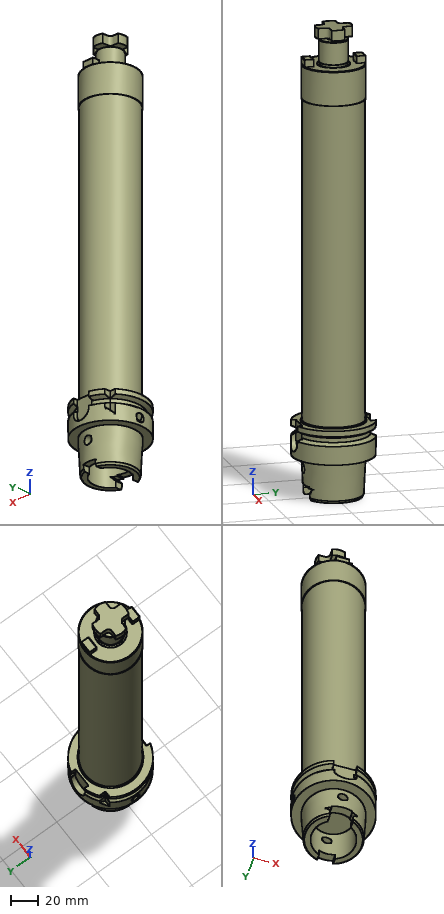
import cadquery as cq
import math


shank_length = 32.0
shank_top_d = 48.0
shank_bottom_d = 45.2
shank_collar_height = 2.0
shank_chamfer_height = 2.0
shank_chamfer_width = 1.0
bore_d = 34.0
cross_hole_d = 7.5
cross_hole_z = -9.0

wide_slot_width = 18.0
wide_slot_depth = 10.5
wide_slot_step_width = 16.0
wing_drop = 1.2
wing_reach = 3.3
wing_height = 3.8
narrow_slot_width = 12.5
narrow_slot_depth = 5.5

flange_d = 63.0
flange_height = 26.0
groove_center_z = 18.0
groove_mouth = 7.5
groove_floor = 3.4
groove_floor_d = 55.0
flange_slot_floor = 26.5
front_slot_width = 18.0
back_slot_width = 16.0
flange_slot_bottom_z = 4.5
notch_offset = 19.4
notch_corner_z = 5.5
notch_edge_z = 11.0
dimple_d = 7.5
dimple_z = 6.5

body_d = 47.0
body_top_z = 300.0
foot_d = 49.0
foot_height = 0.8
collar_d = 48.0
collar_height = 26.5
collar_chamfer = 0.6

spigot_d = 22.0
spigot_top_z = 319.0
spigot_chamfer = 0.5
spigot_undercut_d = 21.0
spigot_undercut_height = 1.5
recess_d = 24.5
recess_depth = 0.5
key_width = 10.0
key_inner_y = 16.5
key_outer_y = 23.5
key_height = 5.5
key_chamfer = 0.4

head_top_z = 328.9
head_height = 8.0
head_d = 28.0
head_arm_width = 10.0
head_corner_radius = 3.0
neck_top_d = 13.0
neck_bottom_d = 9.0


def revolved(profile):
    """Turn a closed (radius, height) outline about the Z axis."""
    return cq.Workplane("XZ").polyline(profile).close().revolve(360, (0, 0, 0), (0, 1, 0))


def block(x_range, y_range, z_range):
    """Box between the given limits."""
    size = [high - low for low, high in (x_range, y_range, z_range)]
    return cq.Workplane("XY").box(*size, centered=False).translate((x_range[0], y_range[0], z_range[0]))


def make_shank():
    """Hollow tapered shank with a hole across it along Y."""
    top_r = shank_top_d / 2
    bottom_r = shank_bottom_d / 2
    outer = revolved([
        (0, 0),
        (top_r, 0),
        (top_r, -shank_collar_height),
        (bottom_r, shank_chamfer_height - shank_length),
        (bottom_r - shank_chamfer_width, -shank_length),
        (0, -shank_length),
    ])
    bore = cq.Workplane("XY").circle(bore_d / 2).extrude(-shank_length)
    cross_hole = (
        cq.Workplane("XZ").center(0, cross_hole_z).circle(cross_hole_d / 2).extrude(shank_top_d, both=True)
    )
    return outer.cut(bore).cut(cross_hole)


def make_wide_drive_slot():
    """Slot through the -Y shank wall, with pointed undercuts at its upper corners."""
    half = wide_slot_width / 2
    step_half = wide_slot_step_width / 2
    top = wide_slot_depth - shank_length
    wing_top = top - wing_drop
    profile = [
        (-half, -shank_length),
        (-half, wing_top - wing_height),
        (-half - wing_reach, wing_top),
        (-step_half, wing_top),
        (-step_half, top),
        (step_half, top),
        (step_half, wing_top),
        (half + wing_reach, wing_top),
        (half, wing_top - wing_height),
        (half, -shank_length),
    ]
    return cq.Workplane("XZ").polyline(profile).close().extrude(shank_top_d / 2)


def make_narrow_drive_slot():
    """Plain slot through the +Y shank wall."""
    half = narrow_slot_width / 2
    return block((-half, half), (0, shank_top_d / 2), (-shank_length, narrow_slot_depth - shank_length))


def make_flange():
    """Flange disc with a trapezoidal gripper groove around its rim."""
    outer_r = flange_d / 2
    floor_r = groove_floor_d / 2
    return revolved([
        (0, 0),
        (outer_r, 0),
        (outer_r, groove_center_z - groove_mouth / 2),
        (floor_r, groove_center_z - groove_floor / 2),
        (floor_r, groove_center_z + groove_floor / 2),
        (outer_r, groove_center_z + groove_mouth / 2),
        (outer_r, flange_height),
        (0, flange_height),
    ])


def make_flange_slot(width, side):
    """Flat-floored flange slot with a round lower end; side is -1 for -Y and 1 for +Y."""
    half = width / 2
    arc_center_z = flange_slot_bottom_z + half
    return (
        cq.Workplane("XZ", origin=(0, side * flange_slot_floor, 0))
        .moveTo(-half, flange_height)
        .lineTo(-half, arc_center_z)
        .threePointArc((0, flange_slot_bottom_z), (half, arc_center_z))
        .lineTo(half, flange_height)
        .close()
        .extrude(-side * flange_d / 2)
    )


def make_flange_notch():
    """Square-cornered notch in the flange rim toward -X +Y, with a sloping lower end."""
    rim_y = math.sqrt((flange_d / 2) ** 2 - notch_offset ** 2)
    slope = (notch_edge_z - notch_corner_z) / (rim_y - notch_offset)
    far_y = flange_d / 2
    profile = [
        (notch_offset, notch_corner_z),
        (far_y, notch_corner_z + slope * (far_y - notch_offset)),
        (far_y, flange_height),
        (notch_offset, flange_height),
    ]
    depth = flange_d / 2 - notch_offset
    return cq.Workplane("YZ", origin=(-notch_offset, 0, 0)).polyline(profile).close().extrude(-depth)


def make_dimple():
    """Round dimple in the -X side of the flange, with a right-angled V-shaped bottom."""
    rim_x = -flange_d / 2
    radius = dimple_d / 2
    wedge = [
        (rim_x, dimple_z - radius),
        (rim_x + radius, dimple_z),
        (rim_x, dimple_z + radius),
    ]
    wedge = cq.Workplane("XZ").polyline(wedge).close().extrude(radius, both=True)
    drum = cq.Workplane("YZ", origin=(rim_x, 0, dimple_z)).circle(radius).extrude(radius)
    return drum.intersect(wedge)


def make_body():
    """Tube with a flared foot, an upper collar and a shallow recess in its upper face."""
    body_r = body_d / 2
    collar_r = collar_d / 2
    collar_bottom_z = body_top_z - collar_height
    return revolved([
        (0, flange_height),
        (foot_d / 2, flange_height),
        (body_r, flange_height + foot_height),
        (body_r, collar_bottom_z),
        (collar_r, collar_bottom_z),
        (collar_r, body_top_z - collar_chamfer),
        (collar_r - collar_chamfer, body_top_z),
        (recess_d / 2, body_top_z),
        (recess_d / 2, body_top_z - recess_depth),
        (0, body_top_z - recess_depth),
    ])


def make_spigot():
    """Centring spigot, undercut at its base and chamfered at its top."""
    spigot_r = spigot_d / 2
    undercut_r = spigot_undercut_d / 2
    recess_floor_z = body_top_z - recess_depth
    undercut_top_z = body_top_z + spigot_undercut_height
    return revolved([
        (0, recess_floor_z),
        (undercut_r, recess_floor_z),
        (undercut_r, undercut_top_z),
        (spigot_r, undercut_top_z),
        (spigot_r, spigot_top_z - spigot_chamfer),
        (spigot_r - spigot_chamfer, spigot_top_z),
        (0, spigot_top_z),
    ])


def make_key(side):
    """Drive key on the upper face; side is -1 for -Y and 1 for +Y."""
    half = key_width / 2
    y_range = sorted((side * key_inner_y, side * key_outer_y))
    key = block((-half, half), y_range, (body_top_z, body_top_z + key_height))
    return key.faces(">Z").edges("|X").chamfer(key_chamfer)


def make_screw():
    """Exposed end of the clamping screw: a conical neck under a four-armed head."""
    head_bottom_z = head_top_z - head_height
    level = cq.Workplane("XY", origin=(0, 0, head_bottom_z))
    cross = level.rect(head_d, head_arm_width).extrude(head_height)
    cross = cross.union(level.rect(head_arm_width, head_d).extrude(head_height))
    reach = head_arm_width
    inner_corners = cq.selectors.BoxSelector((-reach, -reach, head_bottom_z), (reach, reach, head_top_z))
    cross = cross.edges("|Z").edges(inner_corners).fillet(head_corner_radius)
    head = cross.intersect(level.circle(head_d / 2).extrude(head_height))
    neck = revolved([
        (0, spigot_top_z),
        (neck_bottom_d / 2, spigot_top_z),
        (neck_top_d / 2, head_bottom_z),
        (0, head_bottom_z),
    ])
    return head.union(neck)


shank = make_shank().cut(make_wide_drive_slot()).cut(make_narrow_drive_slot())
flange = make_flange()
flange = flange.cut(make_flange_slot(front_slot_width, -1))
flange = flange.cut(make_flange_slot(back_slot_width, 1))
flange = flange.cut(make_flange_notch()).cut(make_dimple())

result = shank.union(flange).union(make_body()).union(make_spigot())
for side in (-1, 1):
    result = result.union(make_key(side))
result = result.union(make_screw())